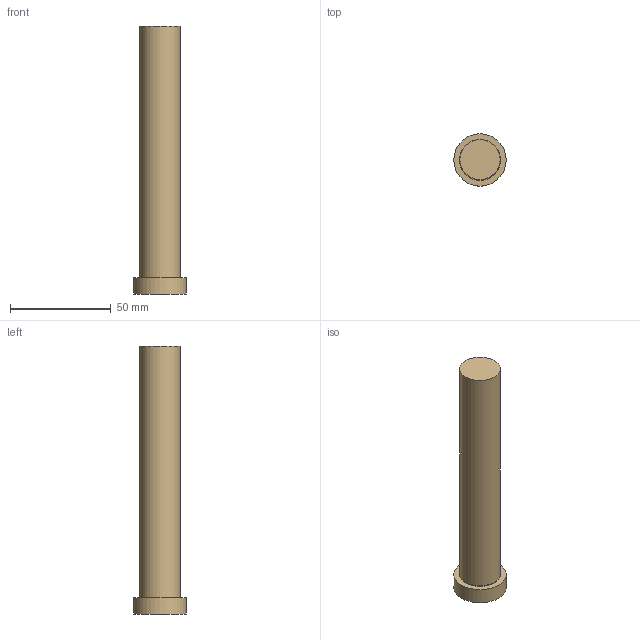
import cadquery as cq

shank_diameter = 20.0
head_diameter = 26.0
head_height = 8.0
overall_length = 133.0
neck_fillet_radius = 0.2

shank_radius = shank_diameter / 2
head_radius = head_diameter / 2


def ejector_pin():
    """Revolve the half profile of the headed pin about the Z axis."""
    neck_radius = shank_radius + neck_fillet_radius
    fillet_top = head_height + neck_fillet_radius
    half_profile = (
        cq.Workplane("XZ")
        .lineTo(head_radius, 0)
        .lineTo(head_radius, head_height)
        .lineTo(neck_radius, head_height)
        .radiusArc((shank_radius, fillet_top), neck_fillet_radius)
        .lineTo(shank_radius, overall_length)
        .lineTo(0, overall_length)
        .close()
    )
    return half_profile.revolve(360, (0, 0, 0), (0, 1, 0))


result = ejector_pin()